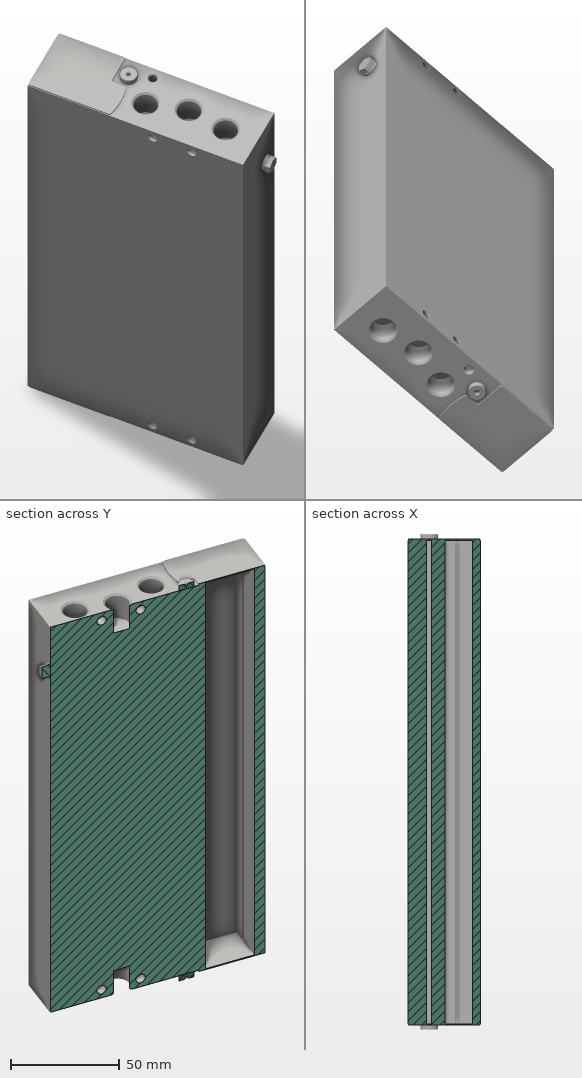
import cadquery as cq

LENGTH = 110.0
WIDTH = 34.0
HEIGHT = 223.0
END_Z = HEIGHT / 2
OVERALL_LENGTH = 114.0
OVERALL_HEIGHT = 229.0

PAD_THICKNESS = 0.75
PAD_SIDE_GAP = 0.27
PAD_NECK_X = 34.1
PAD_STEP_Y = 1.1
PAD_ARM_X = 42.0
PAD_ARM_BULGE = 1.1
PAD_CORNER_RADIUS = 1.1

DUCT_LEFT_X = 5.7
DUCT_NECK_X = 30.5
DUCT_ARM_X = 40.0
DUCT_TOP_Y = 14.9
DUCT_STEP_Y = -0.5
DUCT_BOTTOM_Y = -12.8
DUCT_CORNER_RADIUS = 2.0
SLOT_DEPTH = 1.5
SLOT_WIDTH = 2.0
UPPER_SLOT_Y = 7.0
LOWER_SLOT_Y = -6.2

PORT_CENTRES = [(53.8, -3.2), (73.5, 1.8), (93.7, -1.1)]
PORT_DIAMETER = 11.5
PORT_MOUTH_DIAMETER = 13.3
PORT_DEPTH = 13.7
PILOT_CENTRE = (50.4, 11.7)
PILOT_DIAMETER = 4.1
PILOT_MOUTH_DIAMETER = 5.0
PILOT_DEPTH = 6.9

MOUNT_X = [63.7, 83.5]
MOUNT_Z = 106.7
MOUNT_DIAMETER = 4.5

PLUG_CENTRE = (40.3, 6.9)
PLUG_DIAMETER = 8.0
PLUG_HEIGHT = OVERALL_HEIGHT / 2 - END_Z
SOCKET_MOUTH_DIAMETER = 3.0
SOCKET_DIAMETER = 2.02
SOCKET_DEPTH = 1.5
COUNTERSINK_ANGLE = 90.0

RIM_INSET = 0.11
RIM_HEIGHT = 0.57

SCREW_Y = 6.9
SCREW_Z = 86.3
WASHER_DIAMETER = 8.0
WASHER_THICKNESS = 1.4
HEX_CORNER_DIAMETER = 8.0
SCREW_HEIGHT = OVERALL_LENGTH - LENGTH


def end_pads():
    """Both raised pads as one full-height prism, so each end stands out of the block."""
    side_y = WIDTH / 2 - PAD_SIDE_GAP
    bulge_point = (PAD_ARM_X + PAD_ARM_BULGE, (PAD_STEP_Y - side_y) / 2)
    prism = (
        cq.Workplane("XY")
        .moveTo(0, side_y)
        .lineTo(PAD_NECK_X, side_y)
        .lineTo(PAD_NECK_X, PAD_STEP_Y)
        .lineTo(PAD_ARM_X, PAD_STEP_Y)
        .threePointArc(bulge_point, (PAD_ARM_X, -side_y))
        .lineTo(0, -side_y)
        .close()
        .extrude(END_Z + PAD_THICKNESS, both=True)
    )
    return prism.edges("|Z").fillet(PAD_CORNER_RADIUS)


def slot(wall_x, centre_y):
    """A guide slot that reaches SLOT_DEPTH to both sides of a duct wall."""
    return cq.Workplane("XY").box(2 * SLOT_DEPTH, SLOT_WIDTH, HEIGHT).translate((wall_x, centre_y, 0))


def duct():
    """The sealed L-shaped void with two pairs of guide slots."""
    channel = (
        cq.Workplane("XY")
        .moveTo(DUCT_LEFT_X, DUCT_BOTTOM_Y)
        .lineTo(DUCT_ARM_X, DUCT_BOTTOM_Y)
        .lineTo(DUCT_ARM_X, DUCT_STEP_Y)
        .lineTo(DUCT_NECK_X, DUCT_STEP_Y)
        .lineTo(DUCT_NECK_X, DUCT_TOP_Y)
        .lineTo(DUCT_LEFT_X, DUCT_TOP_Y)
        .close()
        .extrude(END_Z, both=True)
    )
    upper_corners = channel.edges("|Z and >Y")
    arm_corner = channel.edges("|Z and >X").edges(">Y")
    channel = channel.newObject(upper_corners.vals() + arm_corner.vals()).fillet(DUCT_CORNER_RADIUS)
    for wall_x in (DUCT_LEFT_X, DUCT_NECK_X):
        channel = channel.union(slot(wall_x, UPPER_SLOT_Y))
    for wall_x in (DUCT_LEFT_X, DUCT_ARM_X):
        channel = channel.union(slot(wall_x, LOWER_SLOT_Y))
    return channel


def blind_bores(centre, diameter, mouth_diameter, depth):
    """A pair of blind bores with 45 degree countersinks, one from each end face."""
    radius = diameter / 2
    mouth_radius = mouth_diameter / 2
    sink = mouth_radius - radius
    profile = [
        (0, END_Z - depth),
        (radius, END_Z - depth),
        (radius, END_Z - sink),
        (mouth_radius, END_Z),
        (0, END_Z),
    ]
    bore = cq.Workplane("XZ").polyline(profile).close().revolve(360, (0, 0), (0, 1))
    bore = bore.translate((*centre, 0))
    return bore.union(bore.mirror("XY"))


def mounting_holes():
    """Four through holes along Y, two near each end."""
    centres = [(x, z) for x in MOUNT_X for z in (-MOUNT_Z, MOUNT_Z)]
    return (
        cq.Workplane("XZ")
        .pushPoints(centres)
        .circle(MOUNT_DIAMETER / 2)
        .extrude(WIDTH / 2, both=True)
    )


def make_housing():
    """The block with its end pads, duct, bores and mounting holes."""
    block = cq.Workplane("XY").box(LENGTH, WIDTH, HEIGHT, centered=(False, True, True))
    body = block.union(end_pads()).cut(duct())
    for centre in PORT_CENTRES:
        body = body.cut(blind_bores(centre, PORT_DIAMETER, PORT_MOUTH_DIAMETER, PORT_DEPTH))
    body = body.cut(blind_bores(PILOT_CENTRE, PILOT_DIAMETER, PILOT_MOUTH_DIAMETER, PILOT_DEPTH))
    return body.cut(mounting_holes())


def bevelled_disc(diameter, thickness):
    """A disc standing on Z = 0 whose upper rim carries a steep bevel."""
    radius = diameter / 2
    profile = [
        (0, 0),
        (radius, 0),
        (radius, thickness - RIM_HEIGHT),
        (radius - RIM_INSET, thickness),
        (0, thickness),
    ]
    return cq.Workplane("XZ").polyline(profile).close().revolve(360, (0, 0), (0, 1))


def make_plug(end):
    """A round plug with a countersunk blind socket; end is +1 for the upper face, -1 for the lower."""
    head = (
        bevelled_disc(PLUG_DIAMETER, PLUG_HEIGHT)
        .faces(">Z")
        .workplane()
        .cskHole(SOCKET_DIAMETER, SOCKET_MOUTH_DIAMETER, COUNTERSINK_ANGLE, SOCKET_DEPTH)
    )
    if end < 0:
        head = head.mirror("XY")
    return head.translate((*PLUG_CENTRE, end * END_Z))


def make_ground_screw():
    """A hexagon head on a washer, built upright and then laid along +X with two corners on Z."""
    washer = bevelled_disc(WASHER_DIAMETER, WASHER_THICKNESS)
    head = cq.Workplane("XY").polygon(6, HEX_CORNER_DIAMETER).extrude(SCREW_HEIGHT)
    screw = washer.union(head).rotate((0, 0, 0), (0, 1, 0), 90)
    return screw.translate((LENGTH, SCREW_Y, SCREW_Z))


housing = make_housing()
plugs = [make_plug(end) for end in (1, -1)]
ground_screw = make_ground_screw()

result = cq.Compound.makeCompound([
    housing.val(),
    *[plug.val() for plug in plugs],
    ground_screw.val(),
])